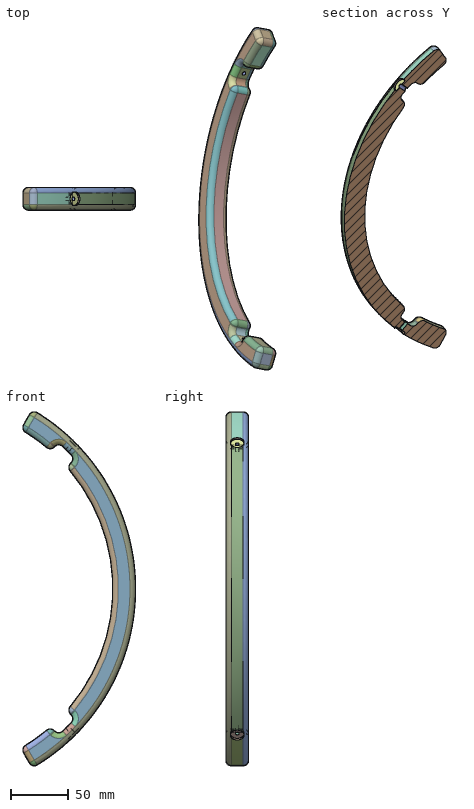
import cadquery as cq
import math

bar_size = 20.0
outer_radius = 180.0
inner_radius = outer_radius - bar_size
half_span = 60.0
edge_radius = 5.0

notch_angle = 45.0
notch_width = 20.0
notch_depth = 10.0
notch_corner_radius = 5.0
floor_clearance = 0.02
floor_radius = inner_radius + notch_depth - floor_clearance

hole_diameter = 3.2
head_diameter = 12.0
head_depth = 2.0


def polar(radius, angle):
    """Point in the XZ plane at a radius and an angle from +X, in degrees."""
    turn = math.radians(angle)
    return (radius * math.cos(turn), radius * math.sin(turn))


def plane_at(angle):
    """Plane through the arc centre whose normal points outward at the angle."""
    x, z = polar(1.0, angle)
    return cq.Plane(origin=(0, 0, 0), xDir=(0, 1, 0), normal=(x, 0, z))


def make_bar():
    return (
        cq.Workplane("XZ")
        .moveTo(*polar(inner_radius, -half_span))
        .lineTo(*polar(outer_radius, -half_span))
        .threePointArc((outer_radius, 0), polar(outer_radius, half_span))
        .lineTo(*polar(inner_radius, half_span))
        .threePointArc((inner_radius, 0), polar(inner_radius, -half_span))
        .close()
        .extrude(bar_size / 2, both=True)
    )


def make_notch(angle):
    """Parallel-sided notch with a floor that follows the arc of the bar."""
    start_radius = inner_radius - notch_depth
    slot = (
        cq.Workplane(plane_at(angle))
        .workplane(offset=start_radius)
        .rect(2 * bar_size, notch_width)
        .extrude(outer_radius - start_radius)
    )
    floor = cq.Workplane("XZ").circle(floor_radius).extrude(bar_size, both=True)
    return slot.intersect(floor)


def make_screw_hole(angle):
    shank_length = outer_radius + bar_size
    shank = cq.Workplane(plane_at(angle)).circle(hole_diameter / 2).extrude(shank_length)
    head = (
        cq.Workplane(plane_at(angle))
        .workplane(offset=outer_radius - head_depth)
        .circle(head_diameter / 2)
        .extrude(bar_size)
    )
    return shank.union(head)


notch_angles = (-notch_angle, notch_angle)

handle = make_bar()
for angle in notch_angles:
    handle = handle.cut(make_notch(angle))
handle = handle.edges("|Y").fillet(notch_corner_radius)
handle = handle.faces("<Y or >Y").edges().fillet(edge_radius)
for angle in notch_angles:
    handle = handle.cut(make_screw_hole(angle))

result = handle